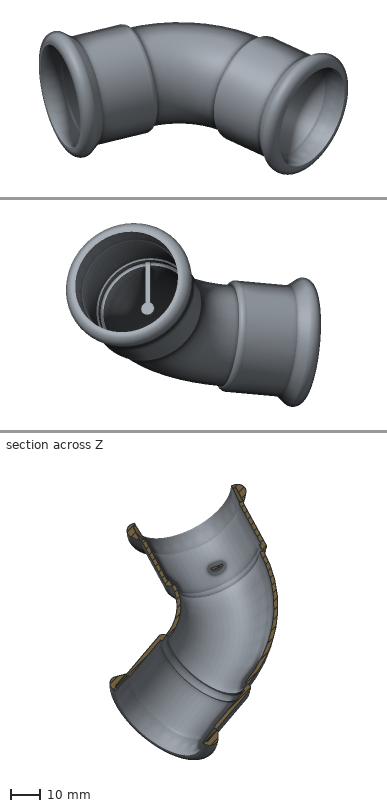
import cadquery as cq
import math

BEND_ANGLE = 60.0
BEND_RADIUS = 37.6
TUBE_OUTER_RADIUS = 17.4
TUBE_INNER_RADIUS = 15.9

SOCKET_LENGTH = 28.7
SOCKET_OUTER_RADIUS = 38.4 / 2
SOCKET_BORE_RADIUS = 35.3 / 2
STOP_BORE_RADIUS = 34.0 / 2
STOP_DEPTH = 25.85
SHOULDER_LENGTH = 2.4
SHOULDER_END_RADIUS = 18.1
SHOULDER_BULGE = 0.5

BEAD_OUTER_RADIUS = 44.6 / 2
BEAD_ROUNDING = BEAD_OUTER_RADIUS - SOCKET_OUTER_RADIUS
BEAD_ARC_PAST_CREST = 27.0
BEAD_LENGTH = 8.15
MOUTH_RADIUS = 18.3

SEAL_FRONT_RADIUS = MOUTH_RADIUS
SEAL_INNER_RADIUS = 35.9 / 2
SEAL_OUTER_RADIUS = 19.3
SEAL_START = 1.4
SEAL_END = 7.3
LEAD_IN_LENGTH = 0.75

KEY_WIDTH = 1.6
KEY_THICKNESS = 0.9
BOSS_RADIUS = 2.25


def place_at_outlet(shape):
    """Move a shape from the inlet, opening toward -Y at the origin, to the outlet."""
    angle = math.radians(BEND_ANGLE)
    end_x = BEND_RADIUS * (1 - math.cos(angle)) + SOCKET_LENGTH * math.sin(angle)
    end_y = SOCKET_LENGTH + BEND_RADIUS * math.sin(angle) + SOCKET_LENGTH * math.cos(angle)
    turned = shape.rotate((0, 0, 0), (0, 0, 1), 180 - BEND_ANGLE)
    return turned.translate((end_x, end_y, 0))


def revolve_about_y(profile):
    """Revolve a profile of (radius, depth) points about the socket axis."""
    return profile.close().revolve(360, (0, 0, 0), (0, 1, 0))


def bead_point(degrees):
    """Point on the bead rounding; 0 degrees is the crest, -90 the end face."""
    angle = math.radians(degrees)
    radius = SOCKET_OUTER_RADIUS + BEAD_ROUNDING * math.cos(angle)
    depth = BEAD_ROUNDING + BEAD_ROUNDING * math.sin(angle)
    return (radius, depth)


def make_socket_shell():
    shoulder_start = SOCKET_LENGTH - SHOULDER_LENGTH
    shoulder_middle = (
        (SOCKET_OUTER_RADIUS + SHOULDER_END_RADIUS) / 2 + SHOULDER_BULGE,
        SOCKET_LENGTH - SHOULDER_LENGTH / 2,
    )
    profile = (
        cq.Workplane("XY")
        .moveTo(MOUTH_RADIUS, 0)
        .lineTo(SOCKET_OUTER_RADIUS, 0)
        .threePointArc(bead_point(-45), bead_point(BEAD_ARC_PAST_CREST))
        .lineTo(SOCKET_OUTER_RADIUS, BEAD_LENGTH)
        .lineTo(SOCKET_OUTER_RADIUS, shoulder_start)
        .threePointArc(shoulder_middle, (SHOULDER_END_RADIUS, SOCKET_LENGTH))
        .lineTo(STOP_BORE_RADIUS, SOCKET_LENGTH)
        .lineTo(STOP_BORE_RADIUS, STOP_DEPTH)
        .lineTo(SOCKET_BORE_RADIUS, STOP_DEPTH)
        .lineTo(SOCKET_BORE_RADIUS, SEAL_END + LEAD_IN_LENGTH)
        .lineTo(SEAL_INNER_RADIUS, SEAL_END)
        .lineTo(SEAL_OUTER_RADIUS, SEAL_END)
        .lineTo(SEAL_OUTER_RADIUS, SEAL_START)
        .lineTo(MOUTH_RADIUS, SEAL_START)
    )
    return revolve_about_y(profile)


def make_bend():
    return (
        cq.Workplane("XZ", origin=(0, SOCKET_LENGTH, 0))
        .circle(TUBE_OUTER_RADIUS)
        .circle(TUBE_INNER_RADIUS)
        .revolve(BEND_ANGLE, (BEND_RADIUS, 0, 0), (BEND_RADIUS, -1, 0))
    )


def make_key():
    """Bar from the wall of the stop bore to a round boss on the axis."""
    plane = cq.Workplane("XZ", origin=(0, SOCKET_LENGTH, 0))
    bar = (
        plane.center(0, STOP_BORE_RADIUS / 2)
        .rect(KEY_WIDTH, STOP_BORE_RADIUS)
        .extrude(KEY_THICKNESS)
    )
    boss = plane.circle(BOSS_RADIUS).extrude(KEY_THICKNESS)
    return bar.union(boss)


def make_fitting():
    socket = make_socket_shell()
    return make_bend().union(socket).union(place_at_outlet(socket)).union(make_key())


def make_seal():
    profile = (
        cq.Workplane("XY")
        .moveTo(SEAL_FRONT_RADIUS, SEAL_START)
        .lineTo(SEAL_OUTER_RADIUS, SEAL_START)
        .lineTo(SEAL_OUTER_RADIUS, SEAL_END)
        .lineTo(SEAL_INNER_RADIUS, SEAL_END)
    )
    return revolve_about_y(profile)


fitting = make_fitting()
inlet_seal = make_seal()
seals = []
for placed_seal in (inlet_seal, place_at_outlet(inlet_seal)):
    seals.append(placed_seal.val())

result = cq.Compound.makeCompound([fitting.val(), *seals])